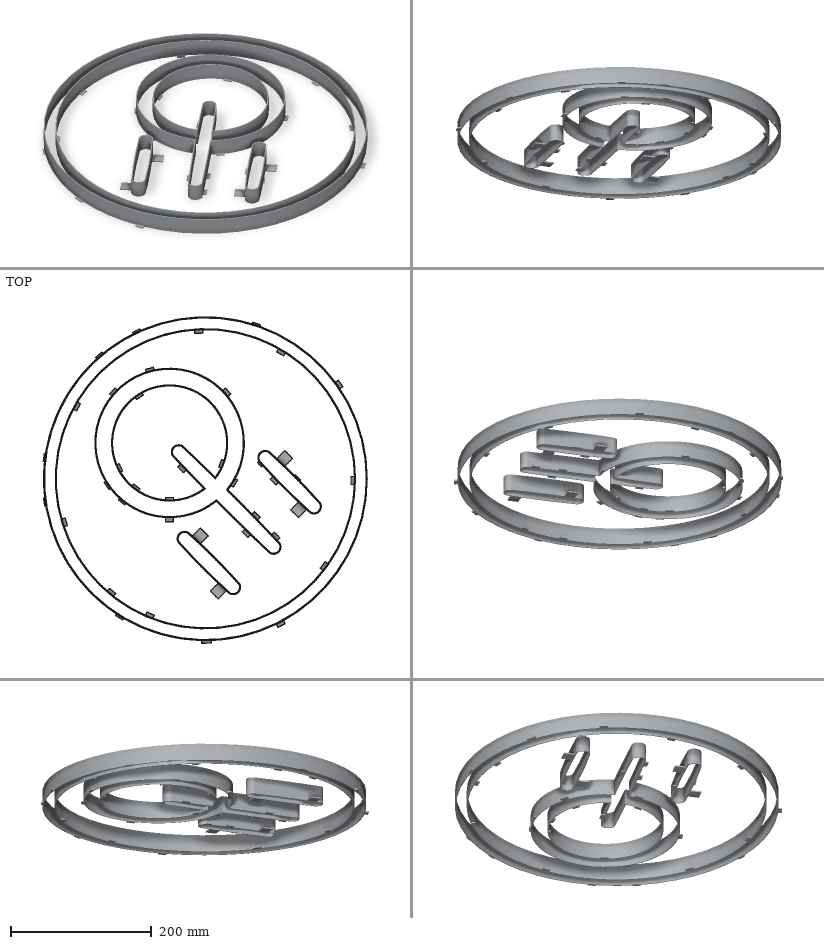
import cadquery as cq
import math

wall_height = 24.0
wall_thickness = 1.5

tab_thickness = 2.0
tab_width = 11.5
wide_tab_width = 14.0
narrow_tab_width = 8.5

longest_reach = 6.0
long_reach = 5.0
middle_reach = 3.5
short_reach = 2.5
slight_reach = 1.62

pad_width = 16.0
pad_reach = pad_width

rim_outer_radius = 230.0
rim_inner_radius = 213.5
lens_outer_radius = 106.2
lens_inner_radius = 82.5

axis_angle = -45
lens_center = -72.0
handle_start = -64.0
slot_start = 28.8
far_end = 147.5
slot_offset = 81.0

bar_middle_half_width = 11.5
bar_end_half_width = 10.0
bar_cap_length = 8.0

rim_outer_tabs = [
    (35.2, tab_width, long_reach),
    (71.7, tab_width, short_reach),
    (115.0, tab_width, short_reach),
    (130.7, tab_width, short_reach),
    (172.5, tab_width, slight_reach),
    (188.2, tab_width, slight_reach),
    (238.2, tab_width, short_reach),
    (270.4, wide_tab_width, middle_reach),
    (297.4, tab_width, long_reach),
]
rim_inner_tab_angles = [-0.7, 59.1, 92.6, 150.6, 197.2, 230.4, 247.9, 323.7]
rim_inner_tabs = [(angle, tab_width, long_reach) for angle in rim_inner_tab_angles]
lens_outer_tabs = [
    (41.6, tab_width, long_reach),
    (105.0, tab_width, middle_reach),
    (137.7, tab_width, middle_reach),
    (214.3, tab_width, short_reach),
    (231.0, tab_width, short_reach),
    (269.8, tab_width, longest_reach),
    (328.3, tab_width, middle_reach),
]
lens_inner_tab_angles = [123.1, 206.5, 232.8, 270.0, 338.1]
lens_inner_tabs = [(angle, tab_width, middle_reach) for angle in lens_inner_tab_angles]

handle_outer_tabs = [
    (88.0, 1, tab_width, long_reach),
    (128.5, 1, tab_width, long_reach),
    (96.0, -1, tab_width, long_reach),
]
handle_inner_tabs = [(-34.0, -1, tab_width, long_reach)]
upper_slot_tabs = [
    (59.5, 1, pad_width, pad_reach),
    (91.5, 1, tab_width, slight_reach),
    (125.0, -1, pad_width, pad_reach),
    (40.5, -1, narrow_tab_width, short_reach),
    (71.5, -1, tab_width, long_reach),
]
lower_slot_tabs = [
    (52.5, 1, pad_width, pad_reach),
    (125.5, -1, pad_width, pad_reach),
]


def disc(radius, center=0.0):
    """A full-height disc centered on the axis."""
    return cq.Workplane("XY").center(center, 0).circle(radius).extrude(wall_height)


def bar(start, end, offset=0.0, growth=0.0):
    """A full-height bar along the axis with bowed sides and round caps, grown on all sides."""
    cap_start = start + bar_cap_length
    cap_end = end - bar_cap_length
    middle = (start + end) / 2
    outline = (
        cq.Workplane("XY")
        .center(0, offset)
        .moveTo(cap_start, -bar_end_half_width)
        .threePointArc((middle, -bar_middle_half_width), (cap_end, -bar_end_half_width))
        .threePointArc((end, 0), (cap_end, bar_end_half_width))
        .threePointArc((middle, bar_middle_half_width), (cap_start, bar_end_half_width))
        .threePointArc((start, 0), (cap_start, -bar_end_half_width))
        .close()
    )
    if growth != 0:
        outline = outline.offset2D(growth)
    return outline.extrude(wall_height)


def plate(width, near, far):
    """A flat tab that spans from near to far along +X."""
    blank = cq.Workplane("XY").box(far - near, width, tab_thickness, centered=False)
    return blank.translate((near, -width / 2, 0))


def add_round_tabs(body, tabs, face_radius, direction, center=0.0, turn=0.0):
    """Join tabs to a round wall; direction is 1 for outward, -1 for inward."""
    for angle, width, reach in tabs:
        root = face_radius - direction * wall_thickness / 2
        tip = face_radius + direction * reach
        tab = plate(width, min(root, tip), max(root, tip))
        tab = tab.rotate((0, 0, 0), (0, 0, 1), angle - turn).translate((center, 0, 0))
        body = body.union(tab)
    return body


def bar_face_distance(place, start, end):
    """Half width of a bowed bar at a place along the axis."""
    bow = bar_middle_half_width - bar_end_half_width
    half_chord = (end - start) / 2 - bar_cap_length
    bow_radius = (half_chord**2 + bow**2) / (2 * bow)
    from_middle = place - (start + end) / 2
    return bar_middle_half_width - bow_radius + math.sqrt(bow_radius**2 - from_middle**2)


def add_straight_tabs(body, tabs, start, end, offset=0.0):
    """Join tabs that stick out sideways from a straight wall."""
    for place, side, width, reach in tabs:
        face = bar_face_distance(place, start, end)
        tab = plate(width, face - wall_thickness / 2, face + reach)
        tab = tab.rotate((0, 0, 0), (0, 0, 1), 90 * side).translate((place, offset, 0))
        body = body.union(tab)
    return body


def along_axis(body):
    """Turn a body laid out along X onto the slanted axis."""
    return body.rotate((0, 0, 0), (0, 0, 1), axis_angle)


def make_rim_outer():
    """Outermost ring with outward tabs."""
    wall = disc(rim_outer_radius).cut(disc(rim_outer_radius - wall_thickness))
    return add_round_tabs(wall, rim_outer_tabs, rim_outer_radius, 1)


def make_rim_inner():
    """Ring just inside the outermost one, with inward tabs."""
    bore = rim_inner_radius - wall_thickness
    wall = disc(rim_inner_radius).cut(disc(bore))
    return add_round_tabs(wall, rim_inner_tabs, bore, -1)


def make_lens_outer():
    """Round wall that opens into the wall around the lower handle."""
    outside = disc(lens_outer_radius, lens_center).union(bar(handle_start, far_end))
    inside = disc(lens_outer_radius - wall_thickness, lens_center)
    inside = inside.union(bar(handle_start, far_end, growth=-wall_thickness))
    wall = outside.cut(inside)
    wall = add_round_tabs(wall, lens_outer_tabs, lens_outer_radius, 1, lens_center, axis_angle)
    wall = add_straight_tabs(wall, handle_outer_tabs, handle_start, far_end)
    return along_axis(wall)


def make_lens_inner():
    """Round wall that folds inward around the upper handle."""
    bore = lens_inner_radius - wall_thickness
    outside = disc(lens_inner_radius, lens_center).cut(bar(handle_start, far_end, growth=-wall_thickness))
    inside = disc(bore, lens_center).cut(bar(handle_start, far_end))
    wall = outside.cut(inside)
    wall = add_round_tabs(wall, lens_inner_tabs, bore, -1, lens_center, axis_angle)
    wall = add_straight_tabs(wall, handle_inner_tabs, handle_start, far_end)
    return along_axis(wall)


def make_slot(side, tabs):
    """Closed frame on one side of the axis; side is 1 for upper, -1 for lower."""
    offset = side * slot_offset
    wall = bar(slot_start, far_end, offset)
    wall = wall.cut(bar(slot_start, far_end, offset, -wall_thickness))
    return along_axis(add_straight_tabs(wall, tabs, slot_start, far_end, offset))


rim_outer = make_rim_outer()
rim_inner = make_rim_inner()
lens_outer = make_lens_outer()
lens_inner = make_lens_inner()
slots = [make_slot(side, tabs) for side, tabs in ((1, upper_slot_tabs), (-1, lower_slot_tabs))]

result = cq.Compound.makeCompound([
    rim_outer.val(),
    rim_inner.val(),
    lens_outer.val(),
    lens_inner.val(),
    *[slot.val() for slot in slots],
])